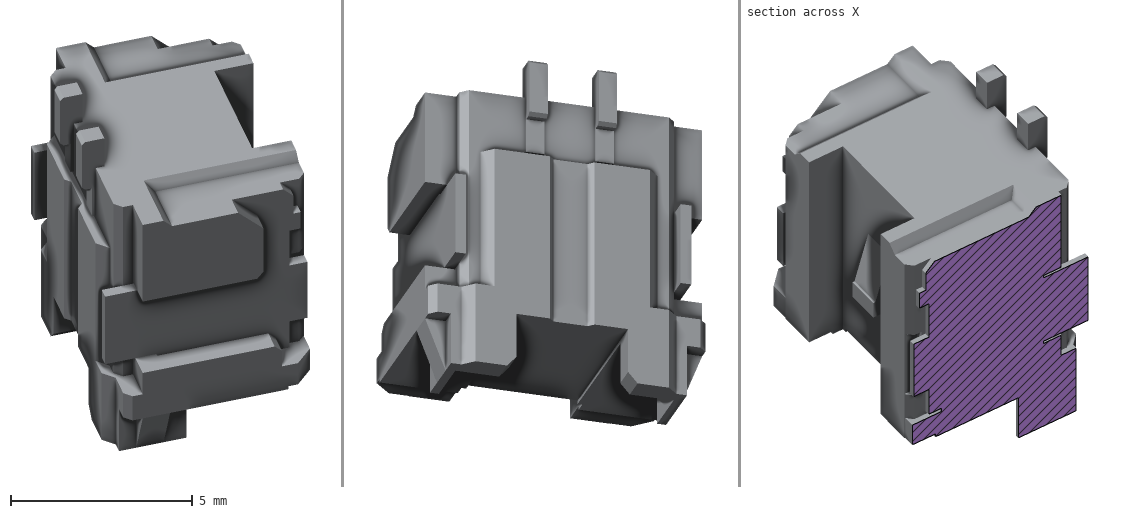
import cadquery as cq


HALF_WIDTH = 4.0
BACK_Y = 5.9
PIN_TOP_Z = 9.45
BODY_TOP_Z = 8.45

CORE_HALF_WIDTH = 3.1
CORE_FRONT_Y = 0.4
CORE_FRONT_CHAMFER = 0.215
CORE_BACK_CHAMFER = 0.2
CORE_BOTTOM_Z = 1.625

BASE_BOTTOM_Z = 1.52
BASE_TOP_Z = 2.386
BASE_BACK_Y = 5.885
BASE_PAD_BACK_Y = 5.11
BASE_FRONT_CHAMFER = 0.21
BASE_BACK_CHAMFER = 0.5

PANEL_FRONT_Y = 0.09
PANEL_THICKNESS = CORE_FRONT_Y - PANEL_FRONT_Y
PANEL_TOP_Z = 6.6
PANEL_HALF_WIDTH = 2.55
PANEL_FOOT_HALF_WIDTH = CORE_HALF_WIDTH
GROOVE_HALF_WIDTH = 0.645
GROOVE_DEPTH = 0.155

LEG_OUTER_X = 3.406
LEG_INNER_X = 1.61
LEG_FRONT_WALL_BACK_Y = 0.82
LEG_OUTER_WALL_INNER_X = 3.15
LEG_OUTER_WALL_BACK_Y = 2.345
LEG_TIP_CHAMFER_X = 0.275
LEG_TIP_CHAMFER_Z = 0.31
RIB_BACK_Y = 1.69

PLATE_OUTER_X = LEG_OUTER_X
PLATE_NECK_Y = 1.5
PLATE_SHOULDER_Y = 5.33
PLATE_TAB_Y = 5.84
PLATE_BOTTOM_Z = 2.49
PLATE_ARM_BOTTOM_Z = 3.215
PLATE_ARM_TOP_Z = 5.635
PLATE_TAB_BOTTOM_Z = 3.425
PLATE_TAB_TOP_Z = 5.43
PLATE_BARB_Y = 5.65
PLATE_BARB_BOTTOM_Z = 6.675
PLATE_BARB_TOP_Z = 7.26
PLATE_UPPER_Y = 5.44
PLATE_CHAMFER = 0.3

POCKET_DEPTH = 0.2
POCKET_FRONT_Y = 5.47
POCKET_MARGIN_Z = 0.14

FLANGE_FRONT_Y = 0.9
UPPER_FLANGE_BOTTOM_Z = 5.705
UPPER_FLANGE_BACK_Y = 4.39
UPPER_FLANGE_LOW_CHAMFER_Y = 0.175
UPPER_FLANGE_LOW_CHAMFER_Z = 0.21
UPPER_FLANGE_SLOPE_START_Y = 3.41
UPPER_FLANGE_SLOPE_END_Z = 7.46
LOWER_FLANGE_TOP_Z = 3.147
LOWER_FLANGE_BACK_Y = 4.92
LOWER_FLANGE_CHAMFER = 0.205

RECESS_DEPTH = 0.25
RECESS_INNER_X = 2.44
RECESS_WALL_RUN_X = 0.265
LEFT_RECESS_FRONT_Y = 2.0
RIGHT_RECESS_FRONT_Y = 1.75

NOTCH_HALF_WIDTH = 1.745
NOTCH_FRONT_Y = 4.77
BUMP_HALF_WIDTH = 0.51
BUMP_LIP_Y = 5.23
BUMP_BACK_Y = 5.3
BUMP_BOTTOM_Z = 4.0
BUMP_LIP_Z = 4.55
BUMP_TOP_Z = 6.1

PIN_X = 1.0
PIN_WIDTH = 0.53
PIN_FRONT_Y = 0.0
PIN_BACK_Y = 0.65
PIN_CHAMFER = 0.1
PIN_STEM_FRONT_Y = 0.3
PIN_STEP_Z = 7.745
PIN_BOTTOM_Z = 6.745

CUT_MARGIN = 1.0


def box(x0, x1, y0, y1, z0, z1):
    """Box between two opposite corners."""
    return cq.Workplane("XY").box(x1 - x0, y1 - y0, z1 - z0, centered=False).translate((x0, y0, z0))


def symmetric_outline(right_half):
    """Right-hand outline points followed by their mirror image across X = 0."""
    return right_half + [(-x, v) for x, v in reversed(right_half)]


def mirrored_prism(right_half, z0, z1):
    """Upright prism whose plan is the given right-hand outline and its mirror image."""
    plan = symmetric_outline(right_half)
    return cq.Workplane("XY").workplane(offset=z0).polyline(plan).close().extrude(z1 - z0)


def side_prism(outline_yz, x0, x1):
    """Prism along X from an outline in (Y, Z)."""
    return cq.Workplane("YZ").workplane(offset=x0).polyline(outline_yz).close().extrude(x1 - x0)


def both_sides(solid):
    """The solid together with its mirror image across X = 0."""
    return solid.union(solid.mirror("YZ"))


def core():
    plan = [
        (CORE_HALF_WIDTH - CORE_FRONT_CHAMFER, CORE_FRONT_Y),
        (CORE_HALF_WIDTH, CORE_FRONT_Y + CORE_FRONT_CHAMFER),
        (CORE_HALF_WIDTH, BACK_Y - CORE_BACK_CHAMFER),
        (CORE_HALF_WIDTH - CORE_BACK_CHAMFER, BACK_Y),
    ]
    return mirrored_prism(plan, CORE_BOTTOM_Z, BODY_TOP_Z)


def tab_pockets():
    return both_sides(box(
        CORE_HALF_WIDTH - POCKET_DEPTH, CORE_HALF_WIDTH + CUT_MARGIN,
        POCKET_FRONT_Y, BACK_Y + CUT_MARGIN,
        PLATE_TAB_BOTTOM_Z - POCKET_MARGIN_Z, PLATE_TAB_TOP_Z + POCKET_MARGIN_Z,
    ))


def base_ring():
    plan = [
        (HALF_WIDTH - BASE_FRONT_CHAMFER, CORE_FRONT_Y),
        (HALF_WIDTH, CORE_FRONT_Y + BASE_FRONT_CHAMFER),
        (HALF_WIDTH, BASE_BACK_Y - BASE_BACK_CHAMFER),
        (HALF_WIDTH - BASE_BACK_CHAMFER, BASE_BACK_Y),
    ]
    ring = mirrored_prism(plan, BASE_BOTTOM_Z, BASE_TOP_Z)
    rear_step = box(
        -HALF_WIDTH, HALF_WIDTH, BASE_PAD_BACK_Y, BACK_Y, BASE_BOTTOM_Z, CORE_BOTTOM_Z,
    )
    return ring.cut(rear_step)


def panel_layer(half_width, z0, z1):
    """Slab on the front face with its vertical edges chamfered at 45 degrees."""
    plan = [
        (half_width - PANEL_THICKNESS, PANEL_FRONT_Y),
        (half_width, CORE_FRONT_Y),
        (half_width, CORE_FRONT_Y + PANEL_THICKNESS),
    ]
    return mirrored_prism(plan, z0, z1)


def front_panel():
    upper = panel_layer(PANEL_HALF_WIDTH, BASE_TOP_Z, PANEL_TOP_Z)
    foot = panel_layer(PANEL_FOOT_HALF_WIDTH, 0, BASE_TOP_Z)
    return upper.union(foot)


def panel_groove():
    plan = [
        (GROOVE_HALF_WIDTH, PANEL_FRONT_Y),
        (GROOVE_HALF_WIDTH - GROOVE_DEPTH, PANEL_FRONT_Y + GROOVE_DEPTH),
    ]
    return mirrored_prism(plan, 0, PANEL_TOP_Z)


def legs():
    front_wall = box(LEG_INNER_X, LEG_OUTER_X, CORE_FRONT_Y, LEG_FRONT_WALL_BACK_Y, 0, BASE_TOP_Z)
    outer_wall = box(LEG_OUTER_WALL_INNER_X, LEG_OUTER_X, CORE_FRONT_Y, LEG_OUTER_WALL_BACK_Y, 0, BASE_TOP_Z)
    rib = (
        cq.Workplane("XZ", origin=(0, FLANGE_FRONT_Y, 0))
        .polyline([(LEG_OUTER_X, 0), (HALF_WIDTH, BASE_BOTTOM_Z), (LEG_OUTER_X, BASE_BOTTOM_Z)])
        .close()
        .extrude(FLANGE_FRONT_Y - RIB_BACK_Y)
    )
    return both_sides(front_wall.union(outer_wall).union(rib))


def leg_arch():
    """Opening between the legs, flared at their tips."""
    right_half = [
        (LEG_INNER_X + LEG_TIP_CHAMFER_X, 0),
        (LEG_INNER_X, LEG_TIP_CHAMFER_Z),
        (LEG_INNER_X, CORE_BOTTOM_Z),
    ]
    return cq.Workplane("XZ").polyline(symmetric_outline(right_half)).close().extrude(-BACK_Y)


def side_plates():
    floor_z = BODY_TOP_Z - RECESS_DEPTH
    outline = [
        (0, PLATE_ARM_BOTTOM_Z),
        (PLATE_NECK_Y, PLATE_ARM_BOTTOM_Z),
        (PLATE_NECK_Y, PLATE_BOTTOM_Z),
        (PLATE_SHOULDER_Y, PLATE_BOTTOM_Z),
        (PLATE_SHOULDER_Y, PLATE_TAB_BOTTOM_Z),
        (PLATE_TAB_Y, PLATE_TAB_BOTTOM_Z),
        (PLATE_TAB_Y, PLATE_TAB_TOP_Z),
        (PLATE_SHOULDER_Y, PLATE_TAB_TOP_Z),
        (PLATE_SHOULDER_Y, PLATE_BARB_BOTTOM_Z),
        (PLATE_BARB_Y, PLATE_BARB_BOTTOM_Z),
        (PLATE_BARB_Y, PLATE_BARB_TOP_Z),
        (PLATE_UPPER_Y, PLATE_BARB_TOP_Z),
        (PLATE_UPPER_Y, floor_z - PLATE_CHAMFER),
        (PLATE_UPPER_Y - PLATE_CHAMFER, floor_z),
        (PLATE_NECK_Y, floor_z),
        (PLATE_NECK_Y, PLATE_ARM_TOP_Z),
        (0, PLATE_ARM_TOP_Z),
    ]
    return both_sides(side_prism(outline, CORE_HALF_WIDTH, PLATE_OUTER_X))


def upper_flanges():
    outline = [
        (FLANGE_FRONT_Y, UPPER_FLANGE_BOTTOM_Z),
        (UPPER_FLANGE_BACK_Y - UPPER_FLANGE_LOW_CHAMFER_Y, UPPER_FLANGE_BOTTOM_Z),
        (UPPER_FLANGE_BACK_Y, UPPER_FLANGE_BOTTOM_Z + UPPER_FLANGE_LOW_CHAMFER_Z),
        (UPPER_FLANGE_BACK_Y, UPPER_FLANGE_SLOPE_END_Z),
        (UPPER_FLANGE_SLOPE_START_Y, BODY_TOP_Z),
        (FLANGE_FRONT_Y, BODY_TOP_Z),
    ]
    return both_sides(side_prism(outline, CORE_HALF_WIDTH, HALF_WIDTH))


def lower_flanges():
    outline = [
        (FLANGE_FRONT_Y, BASE_BOTTOM_Z),
        (LOWER_FLANGE_BACK_Y, BASE_BOTTOM_Z),
        (LOWER_FLANGE_BACK_Y, LOWER_FLANGE_TOP_Z - LOWER_FLANGE_CHAMFER),
        (LOWER_FLANGE_BACK_Y - LOWER_FLANGE_CHAMFER, LOWER_FLANGE_TOP_Z),
        (FLANGE_FRONT_Y, LOWER_FLANGE_TOP_Z),
    ]
    return both_sides(side_prism(outline, CORE_HALF_WIDTH, HALF_WIDTH))


def top_recess(front_y):
    """Cutter for the right-hand step in the top face, with sloped walls mitred at the corner."""
    floor_z = BODY_TOP_Z - RECESS_DEPTH
    outer_x = HALF_WIDTH + CUT_MARGIN
    rear_y = BACK_Y + CUT_MARGIN
    front_wall_outline = [
        (front_y - RECESS_DEPTH, BODY_TOP_Z),
        (front_y, floor_z),
        (rear_y, floor_z),
        (rear_y, BODY_TOP_Z),
    ]
    inner_wall_outline = [
        (RECESS_INNER_X - RECESS_WALL_RUN_X, BODY_TOP_Z),
        (RECESS_INNER_X, floor_z),
        (outer_x, floor_z),
        (outer_x, BODY_TOP_Z),
    ]
    along_x = side_prism(front_wall_outline, 0, outer_x)
    along_y = cq.Workplane("XZ").polyline(inner_wall_outline).close().extrude(-rear_y)
    return along_x.intersect(along_y)


def rear_notch():
    return box(-NOTCH_HALF_WIDTH, NOTCH_HALF_WIDTH, NOTCH_FRONT_Y, BACK_Y, 0, BODY_TOP_Z)


def latch_bump():
    outline = [
        (NOTCH_FRONT_Y, BUMP_BOTTOM_Z),
        (BUMP_BACK_Y, BUMP_BOTTOM_Z),
        (BUMP_BACK_Y, BUMP_LIP_Z),
        (BUMP_LIP_Y, BUMP_LIP_Z),
        (NOTCH_FRONT_Y, BUMP_TOP_Z),
    ]
    return side_prism(outline, -BUMP_HALF_WIDTH, BUMP_HALF_WIDTH)


def pins():
    outline = [
        (PIN_BACK_Y, PIN_BOTTOM_Z),
        (PIN_BACK_Y, PIN_TOP_Z),
        (PIN_FRONT_Y + PIN_CHAMFER, PIN_TOP_Z),
        (PIN_FRONT_Y, PIN_TOP_Z - PIN_CHAMFER),
        (PIN_FRONT_Y, PIN_STEP_Z + PIN_CHAMFER),
        (PIN_FRONT_Y + PIN_CHAMFER, PIN_STEP_Z),
        (PIN_STEM_FRONT_Y, PIN_STEP_Z),
        (PIN_STEM_FRONT_Y, PIN_BOTTOM_Z),
    ]
    return both_sides(side_prism(outline, PIN_X - PIN_WIDTH / 2, PIN_X + PIN_WIDTH / 2))


housing = core().cut(tab_pockets()).union(base_ring()).union(front_panel()).union(legs())
housing = housing.cut(panel_groove()).cut(leg_arch())
housing = housing.union(upper_flanges()).union(lower_flanges()).union(side_plates())
housing = housing.cut(top_recess(RIGHT_RECESS_FRONT_Y))
housing = housing.cut(top_recess(LEFT_RECESS_FRONT_Y).mirror("YZ"))
housing = housing.cut(rear_notch())

result = housing.union(latch_bump()).union(pins())